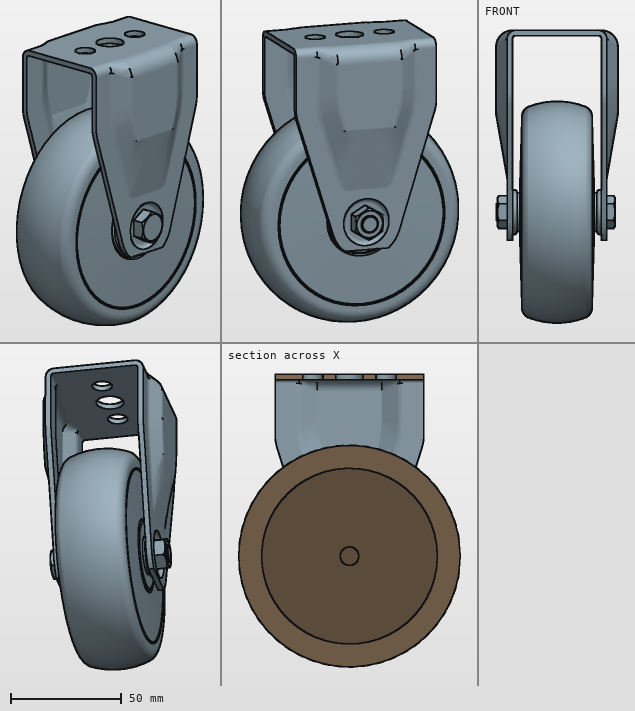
import cadquery as cq
import math

TOTAL_HEIGHT = 132
WHEEL_RADIUS = 50.0
AXLE_Z = WHEEL_RADIUS

SHEET = 2.5
BRACKET_HALF_WIDTH = 45.0 / 2
BRACKET_HALF_DEPTH = 33.5
LEG_TAPER_Z = 101.5
LEG_TAPER_RADIUS = 15.8
LEG_END_RADIUS = 16.5
LEG_FLAT_DROP = 12.7
TOP_BEND_RADIUS = 4.0
CENTRE_HOLE_DIAMETER = 12.4
SIDE_HOLE_DIAMETER = 9.0
SIDE_HOLE_OFFSET = 16.5

BULGE_HEIGHT = 5.0
BULGE_FOOT_HALF = 46.9 / 2
BULGE_FACE_HALF = 30.5 / 2
BULGE_TAPER_Z = 103.1
BULGE_FOOT_Z = 65.3
BULGE_FACE_Z = 94.1
BULGE_TAPER_RADIUS = 39.6
BULGE_FACE_TAPER = math.radians(22)
BULGE_FOOT_CORNER_RADIUS = 4.0
BULGE_FACE_CORNER_RADIUS = 1.6
BULGE_FOOT_FILLET = 4.0
BULGE_FACE_FILLET = 3.0
BULGE_INNER_FACE_FILLET = 0.7
BULGE_TOP_BEND_RADIUS = 7.5

DIMPLE_DEPTH = 2.0
DIMPLE_MOUTH_RADIUS = 10.8
DIMPLE_FLOOR_RADIUS = 8.6
DIMPLE_BACK_RADIUS = 20.2 / 2
DIMPLE_BACK_ROUND = 1.2

TYRE_HALF_WIDTH = 16.0
TREAD_HALF_WIDTH = 13.1
TREAD_EDGE_RADIUS = 47.5
SHOULDER_RADIUS = 42.6
HUB_RADIUS = 39.5
HUB_CENTRE_HALF_WIDTH = 16.6
RIM_GROOVE = 0.4

CAP_RADIUS = 16.0
CAP_HALF_WIDTH = 16.9
CAP_INNER_X = 10.5
CAP_GROOVE = 0.8
COLLAR_RADIUS = 17.5 / 2

BOLT_DIAMETER = 8.0
HEX_ACROSS_FLATS = 13.0
HEX_CHAMFER_DIAMETER = 12.4
HEX_CHAMFER_ANGLE = 30
HEAD_END_X = 26.3
NUT_END_X = 26.9
BOLT_TIP = 0.5

MARGIN = 2.6
TOLERANCE = 0.01

DIMPLE_FLOOR_X = BRACKET_HALF_WIDTH - DIMPLE_DEPTH
DIMPLE_BACK_X = DIMPLE_FLOOR_X - SHEET
BULGE_WALL_ANGLE = math.atan2(BULGE_HEIGHT, BULGE_FOOT_HALF - BULGE_FACE_HALF)
BULGE_INSET = SHEET * math.tan(BULGE_WALL_ANGLE / 2)


def leg_taper():
    """Angle from vertical of the leg edge that runs tangent to the round leg end."""
    rise = LEG_TAPER_Z - AXLE_Z
    distance = math.hypot(BRACKET_HALF_DEPTH, rise)
    return math.atan2(BRACKET_HALF_DEPTH, rise) - math.asin(LEG_END_RADIUS / distance)


TAPER = leg_taper()


def revolve_about_axle(profile):
    """Turn a closed (x, radius) profile about the wheel axle."""
    return profile.revolve(360, (0, 0, 0), (1, 0, 0)).translate((0, 0, AXLE_Z))


def leg_block(half_width, top_z):
    """Half block from the middle plane to one leg face, with the tapered leg outline."""
    tangent_y = LEG_END_RADIUS * math.cos(TAPER)
    tangent_z = AXLE_Z - LEG_END_RADIUS * math.sin(TAPER)
    flat_z = AXLE_Z - LEG_FLAT_DROP
    flat_y = math.sqrt(LEG_END_RADIUS**2 - LEG_FLAT_DROP**2)
    middle_angle = (TAPER + math.asin(LEG_FLAT_DROP / LEG_END_RADIUS)) / 2
    arc_y = LEG_END_RADIUS * math.cos(middle_angle)
    arc_z = AXLE_Z - LEG_END_RADIUS * math.sin(middle_angle)
    block = (
        cq.Workplane("YZ")
        .moveTo(-BRACKET_HALF_DEPTH, top_z)
        .lineTo(-BRACKET_HALF_DEPTH, LEG_TAPER_Z)
        .lineTo(-tangent_y, tangent_z)
        .threePointArc((-arc_y, arc_z), (-flat_y, flat_z))
        .lineTo(flat_y, flat_z)
        .threePointArc((arc_y, arc_z), (tangent_y, tangent_z))
        .lineTo(BRACKET_HALF_DEPTH, LEG_TAPER_Z)
        .lineTo(BRACKET_HALF_DEPTH, top_z)
        .close()
        .extrude(half_width)
    )
    near_taper = cq.selectors.BoxSelector(
        (0, -BRACKET_HALF_DEPTH - MARGIN, LEG_TAPER_Z - MARGIN),
        (half_width, BRACKET_HALF_DEPTH + MARGIN, LEG_TAPER_Z + MARGIN),
    )
    return block.edges("|X").edges(near_taper).fillet(LEG_TAPER_RADIUS)


def rounded_corner(corner, radius, angle_in, turn):
    """Start, middle and end of an arc at a corner, each with its tangent, as (point, tangent).

    Angles are measured from straight down towards the middle plane.
    """
    setback = radius * math.tan(turn / 2)
    middle_gap = radius / math.cos(turn / 2) - radius

    def direction(angle):
        return (-math.sin(angle), -math.cos(angle))

    def shifted(vector, length):
        return (corner[0] + vector[0] * length, corner[1] + vector[1] * length)

    start = direction(angle_in)
    middle = direction(angle_in + turn / 2)
    end = direction(angle_in + turn)
    to_centre = (middle[1], -middle[0])
    return [
        (shifted(start, -setback), start),
        (shifted(to_centre, middle_gap), middle),
        (shifted(end, setback), end),
    ]


def bulge_outline(x, half_depth, bottom_z, top_z, taper, corner_radius):
    """Closed outline of the bulge at one X: straight at the top, one smooth curve below."""
    bottom_half = half_depth - (BULGE_TAPER_Z - bottom_z) * math.tan(taper)
    right_side = [
        *rounded_corner((half_depth, BULGE_TAPER_Z), BULGE_TAPER_RADIUS, 0, taper),
        *rounded_corner((bottom_half, bottom_z), corner_radius, taper, math.pi / 2 - taper),
    ]
    left_side = [((-y, z), (ty, -tz)) for (y, z), (ty, tz) in reversed(right_side)]
    stations = right_side + left_side
    points = [cq.Vector(x, y, z) for (y, z), _ in stations]
    tangents = [cq.Vector(0, ty, tz) for _, (ty, tz) in stations]
    top_right = cq.Vector(x, half_depth, top_z)
    top_left = cq.Vector(x, -half_depth, top_z)
    return cq.Wire.assembleEdges([
        cq.Edge.makeLine(top_right, points[0]),
        cq.Edge.makeSpline(points, tangents),
        cq.Edge.makeLine(points[-1], top_left),
        cq.Edge.makeLine(top_left, top_right),
    ])


def bulge(root_x, inset, top_z):
    """Tapered bulge standing on a leg face at root_x."""
    face_x = root_x + BULGE_HEIGHT
    foot = bulge_outline(
        root_x, BULGE_FOOT_HALF - inset, BULGE_FOOT_Z + inset, top_z,
        TAPER, BULGE_FOOT_CORNER_RADIUS,
    )
    face = bulge_outline(
        face_x, BULGE_FACE_HALF - inset, BULGE_FACE_Z + inset, top_z,
        BULGE_FACE_TAPER, BULGE_FACE_CORNER_RADIUS,
    )
    return cq.Workplane(cq.Solid.makeLoft([foot, face], True))


def bend_cutter(root_x, inset, bend_radius, bulge_bend_radius, top_z):
    """Waste outside the top bend; the bend grows where it runs over the bulge."""
    def section(y, corner_x, radius):
        bend_x = corner_x - radius
        bend_z = top_z - radius
        middle = radius * math.sqrt(0.5)
        return (
            cq.Workplane("XZ", origin=(0, y, 0))
            .moveTo(bend_x, top_z)
            .threePointArc((bend_x + middle, bend_z + middle), (corner_x, bend_z))
            .lineTo(corner_x + MARGIN, bend_z)
            .lineTo(corner_x + MARGIN, top_z + MARGIN)
            .lineTo(bend_x, top_z + MARGIN)
            .close()
            .val()
        )

    face_x = root_x + BULGE_HEIGHT
    end_y = BRACKET_HALF_DEPTH + MARGIN
    foot_y = BULGE_FOOT_HALF - inset
    face_y = BULGE_FACE_HALF - inset
    stations = [
        section(-end_y, root_x, bend_radius),
        section(-foot_y, root_x, bend_radius),
        section(-face_y, face_x, bulge_bend_radius),
        section(face_y, face_x, bulge_bend_radius),
        section(foot_y, root_x, bend_radius),
        section(end_y, root_x, bend_radius),
    ]
    return cq.Workplane(cq.Solid.makeLoft(stations, True))


def half_form(root_x, inset, top_z, bend_radius, bulge_bend_radius, foot_fillet, face_fillet):
    """Solid half of a bracket skin: leg block, bulge and top bend."""
    form = leg_block(root_x, top_z).union(bulge(root_x, inset, top_z))

    def rim_edges(x):
        def on_rim(edge):
            box = edge.BoundingBox()
            flat = abs(box.xmin - x) < TOLERANCE and abs(box.xmax - x) < TOLERANCE
            inside = max(abs(box.ymin), abs(box.ymax)) < BULGE_FOOT_HALF + TOLERANCE
            return flat and inside and BULGE_FOOT_Z - MARGIN < edge.Center().z < top_z - TOLERANCE
        return form.edges().filter(on_rim)

    form = rim_edges(root_x).fillet(foot_fillet)
    form = rim_edges(root_x + BULGE_HEIGHT).fillet(face_fillet)
    return form.cut(bend_cutter(root_x, inset, bend_radius, bulge_bend_radius, top_z))


def dimple_back():
    """Raised inner side of the dimple, solid."""
    return revolve_about_axle(
        cq.Workplane("XY")
        .moveTo(BRACKET_HALF_WIDTH - SHEET / 2, 0)
        .lineTo(DIMPLE_BACK_X, 0)
        .lineTo(DIMPLE_BACK_X, DIMPLE_BACK_RADIUS - DIMPLE_BACK_ROUND)
        .radiusArc((DIMPLE_BACK_X + DIMPLE_BACK_ROUND, DIMPLE_BACK_RADIUS), DIMPLE_BACK_ROUND)
        .lineTo(BRACKET_HALF_WIDTH - SHEET / 2, DIMPLE_BACK_RADIUS)
        .close()
    )


def dimple_recess():
    """Hollow outer side of the dimple, with a rounded mouth, and the bolt hole."""
    recess = revolve_about_axle(
        cq.Workplane("XY")
        .moveTo(DIMPLE_FLOOR_X, 0)
        .lineTo(DIMPLE_FLOOR_X, DIMPLE_FLOOR_RADIUS)
        .radiusArc(
            (BRACKET_HALF_WIDTH, DIMPLE_MOUTH_RADIUS), DIMPLE_MOUTH_RADIUS - DIMPLE_FLOOR_RADIUS
        )
        .lineTo(BRACKET_HALF_WIDTH, 0)
        .close()
    )
    hole = cq.Workplane("YZ").center(0, AXLE_Z).circle(BOLT_DIAMETER / 2).extrude(BRACKET_HALF_WIDTH)
    return recess.union(hole)


def make_bracket():
    outer = half_form(
        BRACKET_HALF_WIDTH, 0, TOTAL_HEIGHT,
        TOP_BEND_RADIUS, BULGE_TOP_BEND_RADIUS,
        BULGE_FOOT_FILLET, BULGE_FACE_FILLET,
    )
    cavity = half_form(
        BRACKET_HALF_WIDTH - SHEET, BULGE_INSET, TOTAL_HEIGHT - SHEET,
        TOP_BEND_RADIUS - SHEET, BULGE_TOP_BEND_RADIUS - SHEET,
        BULGE_FOOT_FILLET, BULGE_INNER_FACE_FILLET,
    )
    half = outer.cut(cavity).union(dimple_back()).cut(dimple_recess())
    bracket = half.union(half.mirror("YZ"))
    centre_hole = cq.Workplane("XY").circle(CENTRE_HOLE_DIAMETER / 2).extrude(TOTAL_HEIGHT)
    side_holes = (
        cq.Workplane("XY")
        .pushPoints([(0, -SIDE_HOLE_OFFSET), (0, SIDE_HOLE_OFFSET)])
        .circle(SIDE_HOLE_DIAMETER / 2)
        .extrude(TOTAL_HEIGHT)
    )
    return bracket.cut(centre_hole).cut(side_holes)


def make_tyre():
    """Crowned tread ring with rounded shoulders, bored for the hub."""
    rise = TREAD_EDGE_RADIUS - SHOULDER_RADIUS
    step = TYRE_HALF_WIDTH - TREAD_HALF_WIDTH
    shoulder_arc = (rise**2 + step**2) / (2 * step)
    groove_x = TYRE_HALF_WIDTH - RIM_GROOVE
    return revolve_about_axle(
        cq.Workplane("XY")
        .moveTo(-groove_x, HUB_RADIUS)
        .lineTo(-TYRE_HALF_WIDTH, HUB_RADIUS + RIM_GROOVE)
        .lineTo(-TYRE_HALF_WIDTH, SHOULDER_RADIUS)
        .radiusArc((-TREAD_HALF_WIDTH, TREAD_EDGE_RADIUS), shoulder_arc)
        .threePointArc((0, WHEEL_RADIUS), (TREAD_HALF_WIDTH, TREAD_EDGE_RADIUS))
        .radiusArc((TYRE_HALF_WIDTH, SHOULDER_RADIUS), shoulder_arc)
        .lineTo(TYRE_HALF_WIDTH, HUB_RADIUS + RIM_GROOVE)
        .lineTo(groove_x, HUB_RADIUS)
        .close()
    )


def make_hub():
    """Disc with shallow conical sides, bored for the bolt and recessed for the caps."""
    bore = BOLT_DIAMETER / 2
    right_side = [
        (CAP_INNER_X, bore),
        (CAP_INNER_X, CAP_RADIUS),
        (HUB_CENTRE_HALF_WIDTH - CAP_GROOVE, CAP_RADIUS),
        (HUB_CENTRE_HALF_WIDTH, CAP_RADIUS + CAP_GROOVE),
        (TYRE_HALF_WIDTH, HUB_RADIUS - RIM_GROOVE),
        (TYRE_HALF_WIDTH - RIM_GROOVE, HUB_RADIUS),
    ]
    left_side = [(-x, radius) for x, radius in reversed(right_side)]
    return revolve_about_axle(cq.Workplane("XY").polyline(right_side + left_side).close())


def make_cap(side):
    """Hub cap with a collar that bears on the bracket dimple; side is +1 or -1."""
    bore = BOLT_DIAMETER / 2
    profile = [
        (CAP_INNER_X, bore),
        (CAP_INNER_X, CAP_RADIUS),
        (CAP_HALF_WIDTH - CAP_GROOVE, CAP_RADIUS),
        (CAP_HALF_WIDTH, CAP_RADIUS - CAP_GROOVE),
        (CAP_HALF_WIDTH, COLLAR_RADIUS),
        (DIMPLE_BACK_X, COLLAR_RADIUS),
        (DIMPLE_BACK_X, bore),
    ]
    points = [(side * x, radius) for x, radius in profile]
    return revolve_about_axle(cq.Workplane("XY").polyline(points).close())


def hexagon(end_x):
    """Hexagon from the dimple floor to end_x, corners up and down, outer corners chamfered."""
    corner_radius = HEX_ACROSS_FLATS / math.sqrt(3)
    face_radius = HEX_CHAMFER_DIAMETER / 2
    chamfer_x = (corner_radius - face_radius) * math.tan(math.radians(HEX_CHAMFER_ANGLE))
    corners = [
        (corner_radius * math.sin(math.radians(angle)), corner_radius * math.cos(math.radians(angle)))
        for angle in range(0, 360, 60)
    ]
    prism = (
        cq.Workplane("YZ", origin=(DIMPLE_FLOOR_X, 0, AXLE_Z))
        .polyline(corners)
        .close()
        .extrude(end_x - DIMPLE_FLOOR_X)
    )
    envelope_profile = [
        (DIMPLE_FLOOR_X, 0),
        (DIMPLE_FLOOR_X, corner_radius),
        (end_x - chamfer_x, corner_radius),
        (end_x, face_radius),
        (end_x, 0),
    ]
    envelope = revolve_about_axle(cq.Workplane("XY").polyline(envelope_profile).close())
    return prism.intersect(envelope)


def make_bolt():
    """Head on +X; the shank ends in a chamfered tip just outside the nut."""
    tip_x = NUT_END_X + BOLT_TIP
    shank = (
        cq.Workplane("YZ", origin=(-tip_x, 0, AXLE_Z))
        .circle(BOLT_DIAMETER / 2)
        .extrude(tip_x + DIMPLE_FLOOR_X)
        .faces("<X")
        .chamfer(BOLT_TIP)
    )
    return hexagon(HEAD_END_X).union(shank)


def make_nut():
    hole = cq.Workplane("YZ").center(0, AXLE_Z).circle(BOLT_DIAMETER / 2).extrude(NUT_END_X)
    return hexagon(NUT_END_X).cut(hole).mirror("YZ")


bracket = make_bracket()
tyre = make_tyre()
hub = make_hub()
caps = [make_cap(side) for side in (-1, 1)]
bolt = make_bolt()
nut = make_nut()

result = cq.Compound.makeCompound(
    [bracket.val(), tyre.val(), hub.val(), *[cap.val() for cap in caps], bolt.val(), nut.val()]
)